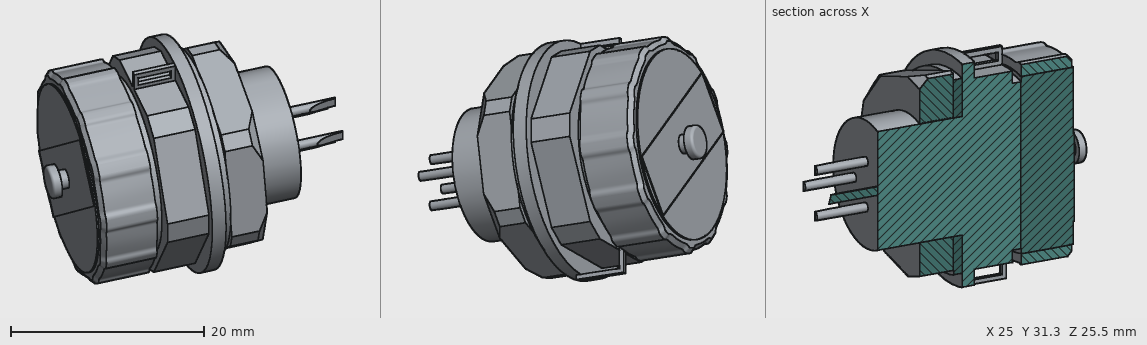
import cadquery as cq
import math


barrel_dia = 14.0
barrel_rear_y = 11.5
flange_dia = 25.0
flange_thickness = 1.5
hex_across_flats = 21.0
hex_depth = 4.5
hex_corner_reach = 11.4
neck_dia = 19.0
neck_length = 1.0

tab_thickness = 0.5
window_length = 3.6
window_bottom_z = 11.0
window_top_z = 11.93
hook_tip_z = -13.0
hook_end_z = -10.02
hook_overlap = 0.5
hook_wall = 0.5

nut_depth = 4.0
nut_corner_reach = 11.6
nut_chamfer = 1.0
seal_dia = 22.0
seal_thickness = 1.0

hex_sides = 6
hex_flat_angle = 180 / hex_sides

turn_angle = 13.5

ring_length = 6.0
ring_dia = 22.0
ring_chamfer = 0.5
ridge_height = 0.3
ridge_fillet = 0.78
ridge_count = 12
ridge_top_half_angles = (2.3, 2.9, 1.6)

plug_dia = 20.0
plug_rise = 0.2
bar_width = 7.0
bar_rise = 0.1
bar_angle = turn_angle + 30
knob_stem_dia = 2.0
knob_stem_length = 1.0
knob_head_dia = 3.5
knob_head_length = 1.0
knob_fillet = 0.3

pin_dia = 1.0
pin_length = 6.0
pin_circle_radius = 2.5
pin_count = 4
pin_cut_length = 2.95

hex_front_y = -hex_depth
neck_front_y = hex_front_y - neck_length
ring_front_y = neck_front_y - ring_length
plug_front_y = ring_front_y - plug_rise
bar_front_y = plug_front_y - bar_rise
seal_rear_y = flange_thickness + seal_thickness
nut_rear_y = seal_rear_y + nut_depth


def plane_at(y):
    """Sketch plane at position y: local x is +X, local y is +Z, and extrusion runs toward -Y."""
    return cq.Workplane("XZ", origin=(0, y, 0))


def cylinder(dia, rear_y, front_y):
    return plane_at(rear_y).circle(dia / 2).extrude(rear_y - front_y)


def hexagon(across_flats, rear_y, front_y):
    """Hexagonal prism with corners at 0, 60, 120... degrees."""
    across_corners = across_flats / math.cos(math.radians(hex_flat_angle))
    return plane_at(rear_y).polygon(hex_sides, across_corners).extrude(rear_y - front_y)


def truncated_hexagon(across_flats, corner_reach, rear_y, front_y):
    """Hexagonal prism whose six corners are cut off flat at corner_reach from the axis."""
    corner_cutter = hexagon(2 * corner_reach, rear_y, front_y).rotate((0, 0, 0), (0, 1, 0), hex_flat_angle)
    return hexagon(across_flats, rear_y, front_y).intersect(corner_cutter)


def box_between(x_half, y_range, z_range):
    size_y = y_range[1] - y_range[0]
    size_z = z_range[1] - z_range[0]
    corner = (-x_half, y_range[0], z_range[0])
    return cq.Workplane("XY").box(2 * x_half, size_y, size_z, centered=False).translate(corner)


def turned(body, angle):
    """Turn a body about Y, counter-clockwise as seen from the front."""
    return body.rotate((0, 0, 0), (0, 1, 0), -angle)


def polar(radius, angle):
    return (radius * math.cos(math.radians(angle)), radius * math.sin(math.radians(angle)))



def make_window_tab():
    """Upper tab: a thin plate between flange and hexagon front, with a rectangular window."""
    root_z = hex_across_flats / 2 - tab_thickness
    half = tab_thickness / 2
    plate = box_between(half, (hex_front_y, 0), (root_z, flange_dia / 2))
    margin = (hex_depth - window_length) / 2
    window_y = (hex_front_y + margin, -margin)
    return plate.cut(box_between(half, window_y, (window_bottom_z, window_top_z)))


def make_hook_tab():
    """Lower tab: an L-shaped hook from under the flange to the front of the hexagon."""
    half = tab_thickness / 2
    hook_front_y = hex_front_y - hook_wall
    rim_z = -math.sqrt((flange_dia / 2) ** 2 - half ** 2)
    arm = box_between(half, (hook_front_y, hook_overlap), (hook_tip_z, rim_z))
    leg = box_between(half, (hook_front_y, hex_front_y), (hook_tip_z, hook_end_z))
    return arm.union(leg)


def make_housing():
    barrel = cylinder(barrel_dia, barrel_rear_y, flange_thickness)
    flange = cylinder(flange_dia, flange_thickness, 0)
    hex_body = truncated_hexagon(hex_across_flats, hex_corner_reach, 0, hex_front_y)
    neck = cylinder(neck_dia, hex_front_y, neck_front_y)
    body = barrel.union(flange).union(hex_body).union(neck)
    return body.union(make_window_tab()).union(make_hook_tab())



def make_nut():
    nut = truncated_hexagon(hex_across_flats, nut_corner_reach, nut_rear_y, seal_rear_y)
    taper_apothem = nut_corner_reach - nut_chamfer
    taper_front_dia = 2 * (taper_apothem + nut_depth) / math.cos(math.radians(hex_flat_angle))
    taper_rear_dia = 2 * taper_apothem / math.cos(math.radians(hex_flat_angle))
    taper = (
        plane_at(nut_rear_y)
        .polygon(hex_sides, taper_rear_dia)
        .workplane(offset=nut_depth)
        .polygon(hex_sides, taper_front_dia)
        .loft(ruled=True)
    )
    nut = nut.intersect(taper.rotate((0, 0, 0), (0, 1, 0), hex_flat_angle))
    return turned(nut.cut(cylinder(barrel_dia, nut_rear_y, seal_rear_y)), turn_angle - hex_flat_angle)


def make_seal():
    ring = cylinder(seal_dia, seal_rear_y, flange_thickness)
    return ring.cut(cylinder(barrel_dia, seal_rear_y, flange_thickness))



def add_ridge(outline, centre_angle, top_half_angle, half_pitch):
    """Continue the outline from the valley before one ridge, over the ridge, to the valley after it."""
    base_radius = ring_dia / 2
    top_radius = base_radius + ridge_height
    foot_centre_radius = base_radius + ridge_fillet
    shoulder_centre_radius = top_radius - ridge_fillet
    cos_flank = (
        (foot_centre_radius ** 2 + shoulder_centre_radius ** 2 - (2 * ridge_fillet) ** 2)
        / (2 * foot_centre_radius * shoulder_centre_radius)
    )
    foot_half_angle = top_half_angle + math.degrees(math.acos(cos_flank))

    def flank(side):
        """Foot, foot arc middle, inflection, shoulder arc middle and top points of one flank."""
        foot_angle = centre_angle + side * foot_half_angle
        top_angle = centre_angle + side * top_half_angle
        foot_centre = cq.Vector(*polar(foot_centre_radius, foot_angle))
        shoulder_centre = cq.Vector(*polar(shoulder_centre_radius, top_angle))
        foot = cq.Vector(*polar(base_radius, foot_angle))
        top = cq.Vector(*polar(top_radius, top_angle))
        inflection = (foot_centre + shoulder_centre) * 0.5
        foot_chord = (foot + inflection) * 0.5 - foot_centre
        shoulder_chord = (top + inflection) * 0.5 - shoulder_centre
        foot_middle = foot_centre + foot_chord.normalized() * ridge_fillet
        shoulder_middle = shoulder_centre + shoulder_chord.normalized() * ridge_fillet
        return [(p.x, p.y) for p in (foot, foot_middle, inflection, shoulder_middle, top)]

    rising = flank(-1)
    falling = flank(1)
    valley_arc_middle = (foot_half_angle + half_pitch) / 2
    return (
        outline
        .threePointArc(polar(base_radius, centre_angle - valley_arc_middle), rising[0])
        .threePointArc(rising[1], rising[2])
        .threePointArc(rising[3], rising[4])
        .threePointArc(polar(top_radius, centre_angle), falling[4])
        .threePointArc(falling[3], falling[2])
        .threePointArc(falling[1], falling[0])
        .threePointArc(
            polar(base_radius, centre_angle + valley_arc_middle),
            polar(base_radius, centre_angle + half_pitch),
        )
    )


def make_coupling_ring():
    pitch = 360 / ridge_count
    outline = plane_at(neck_front_y).moveTo(*polar(ring_dia / 2, turn_angle - pitch / 2))
    for index in range(ridge_count):
        centre_angle = turn_angle + index * pitch
        top_half_angle = ridge_top_half_angles[index % len(ridge_top_half_angles)]
        outline = add_ridge(outline, centre_angle, top_half_angle, pitch / 2)
    ring = outline.close().extrude(ring_length).faces("<Y").chamfer(ring_chamfer)
    return ring.cut(cylinder(plug_dia, neck_front_y, ring_front_y))



def make_plug():
    disc = cylinder(plug_dia, neck_front_y, plug_front_y)
    bar_length = math.sqrt(plug_dia ** 2 - bar_width ** 2)
    bar = plane_at(plug_front_y).rect(bar_length, bar_width).extrude(bar_rise)
    bar = turned(bar, bar_angle)
    head_rear_y = bar_front_y - knob_stem_length
    stem = cylinder(knob_stem_dia, bar_front_y, head_rear_y)
    head = cylinder(knob_head_dia, head_rear_y, head_rear_y - knob_head_length)
    head = head.faces("<Y").edges().fillet(knob_fillet)
    return disc.union(bar).union(stem).union(head)



def make_pin(x, z):
    """Round pin whose rear end is scooped away to half its width on the +X side."""
    pin_tip_y = barrel_rear_y + pin_length
    pin = cylinder(pin_dia, pin_tip_y, barrel_rear_y)
    half_width = pin_dia / 2
    cut_radius = (pin_cut_length ** 2 + half_width ** 2) / (2 * half_width)
    cutter = (
        cq.Workplane("XY", origin=(0, 0, -pin_dia))
        .center(cut_radius, pin_tip_y)
        .circle(cut_radius)
        .extrude(2 * pin_dia)
    )
    return pin.cut(cutter).translate((x, 0, z))


housing = make_housing()
nut = make_nut()
seal = make_seal()
coupling_ring = make_coupling_ring()
plug = make_plug()

pins = []
for index in range(pin_count):
    pin_x, pin_z = polar(pin_circle_radius, index * 360 / pin_count)
    pins.append(make_pin(pin_x, pin_z).val())

result = cq.Compound.makeCompound(
    [housing.val(), nut.val(), seal.val(), coupling_ring.val(), plug.val(), *pins]
)